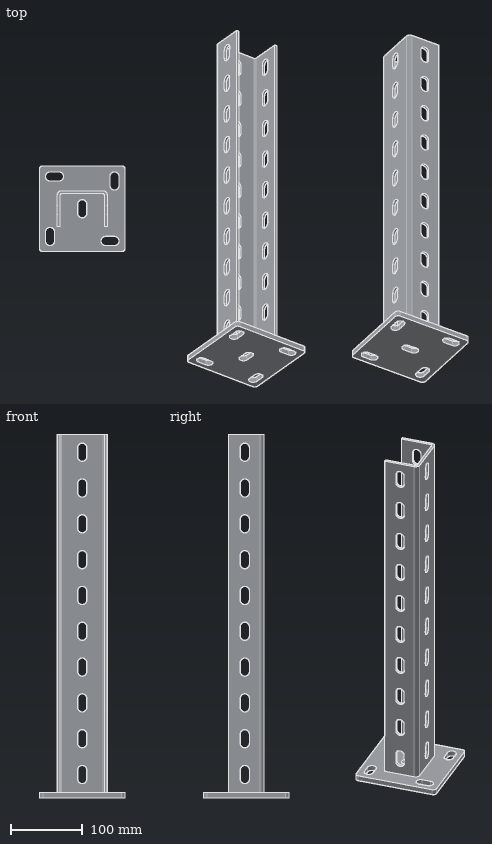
import cadquery as cq

plate_side = 120.0
plate_thickness = 8.0
plate_corner_radius = 5.0

channel_width = 70.0
channel_depth = 50.0
channel_height = 500.0
sheet_thickness = 4.0
bend_outer_radius = 6.0
bend_inner_radius = bend_outer_radius - sheet_thickness

slot_length = 25.0
slot_width = 12.5

slot_pitch = 50.0
slot_count = round(channel_height / slot_pitch)
web_slot_x = 0.0
flange_slot_y = -sheet_thickness / 2

anchor_square = 90.0

ALONG_FIRST_AXIS = 0
ALONG_SECOND_AXIS = 90


def make_plate():
    """Square plate with rounded vertical corners."""
    plate = cq.Workplane("XY").rect(plate_side, plate_side).extrude(plate_thickness)
    return plate.edges("|Z").fillet(plate_corner_radius)


def make_channel():
    """U channel with its web on the +Y side and rounded bends."""
    inner_width = channel_width - 2 * sheet_thickness
    base = cq.Workplane("XY").workplane(offset=plate_thickness)
    outer = base.rect(channel_width, channel_depth).extrude(channel_height)
    outer = outer.edges("|Z and >Y").fillet(bend_outer_radius)
    inner = base.center(0, -sheet_thickness).rect(inner_width, channel_depth).extrude(channel_height)
    inner = inner.edges("|Z and >Y").fillet(bend_inner_radius)
    return outer.cut(inner)


def slot_row_points(across):
    """Slot centres up the column, half a pitch in from each end."""
    first_z = plate_thickness + slot_pitch / 2
    return [(across, first_z + i * slot_pitch) for i in range(slot_count)]


def make_slot_row(plane, across, half_reach):
    """Cutters for a row of upright slots, reaching both ways from the plane."""
    row = cq.Workplane(plane).pushPoints(slot_row_points(across))
    return row.slot2D(slot_length, slot_width, ALONG_SECOND_AXIS).extrude(half_reach, both=True)


def make_plate_slot(x, y, direction):
    """Cutter for one slot through the plate."""
    sketch = cq.Workplane("XY").center(x, y)
    return sketch.slot2D(slot_length, slot_width, direction).extrude(plate_thickness)


def make_plate_slots():
    """Centre slot and four corner slots, each turned 90 degrees from its neighbours."""
    corner = anchor_square / 2
    inset = corner - (slot_length - slot_width) / 2
    slots = make_plate_slot(0, 0, ALONG_SECOND_AXIS)
    for side in (1, -1):
        slots = slots.union(make_plate_slot(-side * inset, side * corner, ALONG_FIRST_AXIS))
        slots = slots.union(make_plate_slot(side * corner, side * inset, ALONG_SECOND_AXIS))
    return slots


web_slots = make_slot_row("XZ", web_slot_x, channel_depth / 2)
flange_slots = make_slot_row("YZ", flange_slot_y, channel_width / 2)
column = make_channel().cut(web_slots).cut(flange_slots)
plate = make_plate().cut(make_plate_slots())
result = plate.union(column)